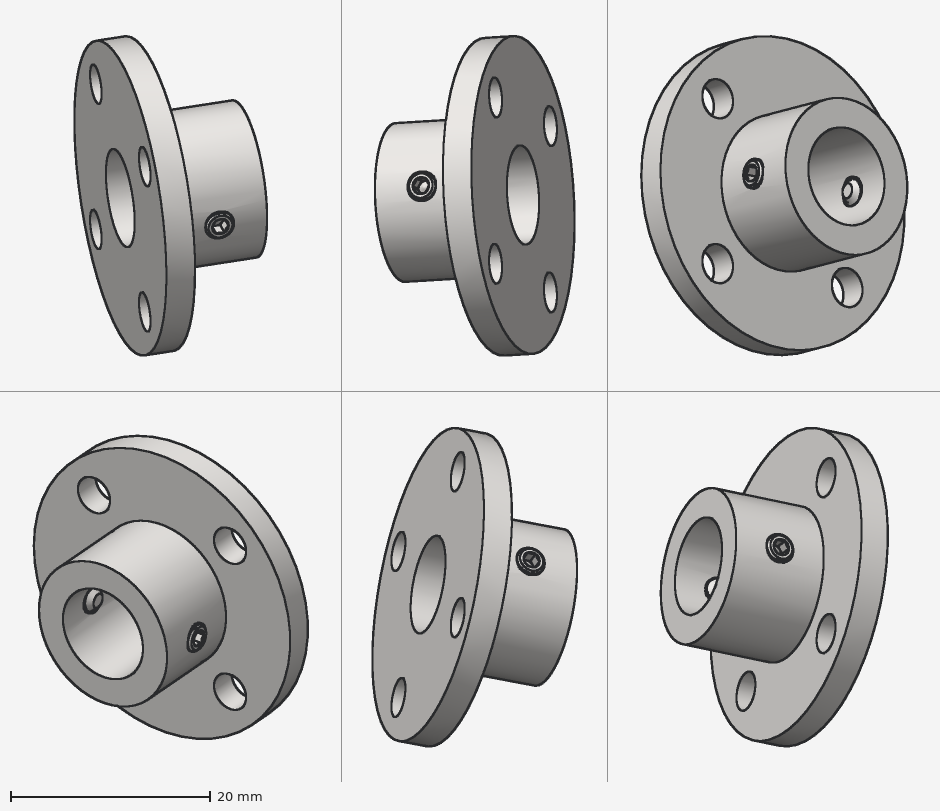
import cadquery as cq
import math

flange_diameter = 32.0
flange_thickness = 3.0
hub_diameter = 16.0
total_length = 13.0
bore_diameter = 10.0

mounting_hole_diameter = 4.0
mounting_circle_diameter = 24.0
mounting_hole_count = 4

screw_diameter = 3.0
screw_hole_clearance = 0.005
screw_length = 4.0
screw_outer_end = 8.3
screw_end_diameter = 2.5
screw_end_chamfer = (screw_diameter - screw_end_diameter) / 2
tip_flat_diameter = 1.55
tip_length = (screw_diameter - tip_flat_diameter) / 2
screw_y = (flange_thickness + total_length) / 2
screw_angles = (0.0, 180.0)
tip_cone_clearance = 0.32

thread_pitch = 0.5
thread_root_diameter = 2.35
thread_flank_angle = math.radians(30)
thread_start_angle = 270.0
thread_length = screw_length - screw_end_chamfer
flank_points = 7

socket_across_flats = 1.5
socket_across_corners = socket_across_flats / math.cos(math.pi / 6)
socket_mouth_depth = (socket_across_corners - socket_across_flats) / 2
socket_depth = 1.5
socket_cone_height = 0.45


def cylinder_along_y(diameter, start, end):
    """Solid cylinder on the hub axis between two Y positions."""
    plane = cq.Workplane("XZ", origin=(0, start, 0))
    return plane.circle(diameter / 2).extrude(start - end)


def about_hub_axis(body, angle):
    return body.rotate((0, 0, 0), (0, 1, 0), angle)


def make_mounting_holes():
    return (
        cq.Workplane("XZ")
        .polarArray(mounting_circle_diameter / 2, 45, 360, mounting_hole_count)
        .circle(mounting_hole_diameter / 2)
        .extrude(-flange_thickness)
    )


def make_screw_hole():
    """Radial hole from the bore out through the +X side of the hub."""
    return (
        cq.Workplane("YZ", origin=(0, screw_y, 0))
        .circle((screw_diameter + screw_hole_clearance) / 2)
        .extrude(hub_diameter)
    )


def make_flanged_hub():
    flange = cylinder_along_y(flange_diameter, 0, flange_thickness)
    hub = cylinder_along_y(hub_diameter, 0, total_length)
    bore = cylinder_along_y(bore_diameter, 0, total_length)
    body = flange.union(hub).cut(bore).cut(make_mounting_holes())
    for angle in screw_angles:
        body = body.cut(about_hub_axis(make_screw_hole(), angle))
    return body




def make_socket():
    """Hexagonal recess at the outer end, with a cone left standing on its floor."""
    outward = cq.Vector(0, 0, 1)
    inward = cq.Vector(0, 0, -1)
    rim_center = cq.Vector(0, 0, screw_length)
    floor_center = cq.Vector(0, 0, screw_length - socket_depth)
    corner_radius = socket_across_corners / 2
    flat_radius = socket_across_flats / 2
    hexagon = (
        cq.Workplane("XY", origin=floor_center)
        .transformed(rotate=(0, 0, 90))
        .polygon(6, socket_across_corners)
        .extrude(socket_depth)
    )
    mouth = cq.Solid.makeCone(corner_radius, flat_radius, socket_mouth_depth, rim_center, inward)
    floor_cone = cq.Solid.makeCone(flat_radius, 0, socket_cone_height, floor_center, outward)
    return hexagon.union(cq.Workplane(mouth)).cut(cq.Workplane(floor_cone))


def flank_point(fraction, side):
    """Point on a flank of the thread's cross-section: fraction 0 at the root, 1 at the crest."""
    root_radius = thread_root_diameter / 2
    thread_depth = screw_diameter / 2 - root_radius
    height = fraction * thread_depth
    angle = 2 * math.pi * height * math.tan(thread_flank_angle) / thread_pitch
    radius = root_radius + height
    return (radius * math.cos(angle), side * radius * math.sin(angle))


def make_threaded_rod():
    """Cross-section with two spiral flanks and a crest arc, twisted once per pitch."""
    fractions = [i / (flank_points - 1) for i in range(flank_points)]
    rising_flank = [flank_point(fraction, 1) for fraction in fractions]
    falling_flank = [flank_point(fraction, -1) for fraction in reversed(fractions)]
    section = (
        cq.Workplane("XY")
        .moveTo(*rising_flank[0])
        .spline(rising_flank[1:], includeCurrent=True)
        .threePointArc((-screw_diameter / 2, 0), falling_flank[0])
        .spline(falling_flank[1:], includeCurrent=True)
        .close()
    )
    rod = section.twistExtrude(thread_length, 360 * thread_length / thread_pitch)
    return rod.rotate((0, 0, 0), (0, 0, 1), thread_start_angle)


def make_tip_envelope():
    """Tip cone, carried on past the crest and along the whole thread."""
    envelope_radius = screw_diameter / 2 + tip_cone_clearance
    profile = [
        (0, 0),
        (tip_flat_diameter / 2, 0),
        (envelope_radius, tip_length + tip_cone_clearance),
        (envelope_radius, screw_length),
        (0, screw_length),
    ]
    outline = cq.Workplane("XZ").polyline(profile).close()
    return outline.revolve(360, (0, 0, 0), (0, 1, 0))


def make_end_cone():
    """Plain chamfered end that closes off the thread."""
    return cq.Workplane(
        cq.Solid.makeCone(
            screw_diameter / 2,
            screw_end_diameter / 2,
            screw_end_chamfer,
            cq.Vector(0, 0, thread_length),
            cq.Vector(0, 0, 1),
        )
    )


def make_set_screw():
    """Set screw in its place on the +X side, tip toward the bore."""
    return (
        make_threaded_rod()
        .intersect(make_tip_envelope())
        .union(make_end_cone())
        .cut(make_socket())
        .rotate((0, 0, 0), (0, 1, 0), 90)
        .translate((screw_outer_end - screw_length, screw_y, 0))
    )


flanged_hub = make_flanged_hub()
set_screw = make_set_screw()
set_screws = [about_hub_axis(set_screw, angle) for angle in screw_angles]

result = cq.Compound.makeCompound(
    [flanged_hub.val(), *[screw.val() for screw in set_screws]]
)